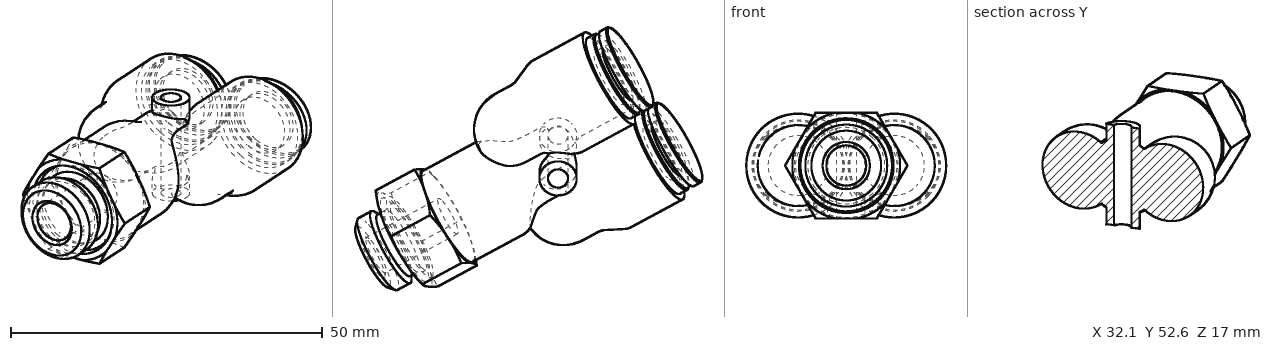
import cadquery as cq
import math


OVERALL_LENGTH = 52.6
HEX_BOTTOM = 5.9
HEX_TOP = 14.0
STEM_CONE_START = 24.0
JUNCTION = 34.5
DOME_CENTRE = 30.95
PORT_FACE = 48.6

OVERALL_WIDTH = 32.1
BODY_RADIUS = 16.7 / 2
NECK_RADIUS = 13.0 / 2
PORT_OFFSET = OVERALL_WIDTH / 2 - BODY_RADIUS
CONE_LENGTH = 4.0
BLEND_RADIUS = 2.0
NECK_END_RADIUS = 1.0
EYELET_DIAMETER = 6.0
EYELET_HOLE_DIAMETER = 3.2

HEX_ACROSS_FLATS = 17.0
HEX_FACE_RADIUS = 17.3 / 2
HEX_CHAMFER_HEIGHT = 0.4
HEX_CORNER_RADIUS = HEX_ACROSS_FLATS / 2 / math.cos(math.radians(30))
SEAL_RIM_RADIUS = 15.2 / 2
SEAL_FLOOR_RADIUS = 14.7 / 2
SEAL_DEPTH = 1.0
RELIEF_RADIUS = 11.2 / 2
RELIEF_TOP = 5.45
SHOULDER_RADIUS = 12.3 / 2
THREAD_RADIUS = 13.15 / 2
THREAD_TOP = 3.95
THREAD_TOP_CHAMFER_HEIGHT = 0.6
BORE_RADIUS = 6.4 / 2
BORE_CHAMFER = 0.6

COLLAR_RADIUS = 14.7 / 2
COLLAR_HEIGHT = 1.6
BUTTON_STEM_RADIUS = 9.6 / 2
BUTTON_HEAD_WIDTH = 14.85
BUTTON_HEAD_HEIGHT = 13.15
BUTTON_HEAD_THICKNESS = 1.5
EDGE_CHAMFER = 0.2


def revolve_about_y(profile):
    """Turn a closed (radius, y) profile about the Y axis."""
    return cq.Workplane("XY").polyline(profile).close().revolve(360, (0, 0, 0), (0, 1, 0))


def cylinder_y(radius, start, end):
    """Cylinder on the Y axis between two stations."""
    return cq.Workplane("XZ", origin=(0, start, 0)).circle(radius).extrude(start - end)


def circle_edge_at(solid, y):
    """Select the round edge of a turned solid that lies at station y."""
    reach = OVERALL_WIDTH
    slack = 0.005
    box = cq.selectors.BoxSelector((-reach, y - slack, -reach), (reach, y + slack, reach), boundingbox=True)
    return solid.edges("%CIRCLE").edges(box)


def necked_barrel(body_end, cone_start, cone_end, neck_end):
    """Barrel that tapers to the neck radius, with both ends of the cone blended."""
    barrel = revolve_about_y([
        (0, body_end),
        (BODY_RADIUS, body_end),
        (BODY_RADIUS, cone_start),
        (NECK_RADIUS, cone_end),
        (NECK_RADIUS, neck_end),
        (0, neck_end),
    ])
    for corner in (cone_start, cone_end):
        barrel = circle_edge_at(barrel, corner).fillet(BLEND_RADIUS)
    return barrel


def make_port():
    """One tube port, closed by a hemispherical dome."""
    barrel = necked_barrel(PORT_FACE, JUNCTION + CONE_LENGTH, JUNCTION, DOME_CENTRE)
    dome = cq.Workplane("XY").sphere(NECK_RADIUS).translate((0, DOME_CENTRE, 0))
    return barrel.union(dome)


def make_housing():
    stem = necked_barrel(HEX_TOP, STEM_CONE_START, STEM_CONE_START + CONE_LENGTH, JUNCTION)
    stem = circle_edge_at(stem, JUNCTION).fillet(NECK_END_RADIUS)

    port = make_port()
    body = stem
    for side in (-1, 1):
        body = body.union(port.translate((side * PORT_OFFSET, 0, 0)))

    eyelet_plane = cq.Workplane("XY", origin=(0, JUNCTION, -HEX_ACROSS_FLATS / 2))
    eyelet = eyelet_plane.circle(EYELET_DIAMETER / 2).extrude(HEX_ACROSS_FLATS)
    hole = eyelet_plane.circle(EYELET_HOLE_DIAMETER / 2).extrude(HEX_ACROSS_FLATS)
    return body.union(eyelet).cut(hole)


def make_hexagon():
    """Hexagon with flats facing +Z and -Z and conical chamfers at both ends."""
    prism = (
        cq.Workplane("XZ", origin=(0, HEX_BOTTOM, 0))
        .polygon(6, 2 * HEX_CORNER_RADIUS)
        .extrude(HEX_BOTTOM - HEX_TOP)
    )
    chamfer_envelope = revolve_about_y([
        (0, HEX_BOTTOM),
        (HEX_FACE_RADIUS, HEX_BOTTOM),
        (HEX_CORNER_RADIUS, HEX_BOTTOM + HEX_CHAMFER_HEIGHT),
        (HEX_CORNER_RADIUS, HEX_TOP - HEX_CHAMFER_HEIGHT),
        (HEX_FACE_RADIUS, HEX_TOP),
        (0, HEX_TOP),
    ])
    return prism.intersect(chamfer_envelope)


def make_stud():
    seal_floor = HEX_BOTTOM + SEAL_DEPTH
    seal_recess = revolve_about_y([
        (0, HEX_BOTTOM),
        (SEAL_RIM_RADIUS, HEX_BOTTOM),
        (SEAL_FLOOR_RADIUS, seal_floor),
        (0, seal_floor),
    ])
    thread_end_chamfer = THREAD_RADIUS - RELIEF_RADIUS
    threaded_end = revolve_about_y([
        (0, 0),
        (RELIEF_RADIUS, 0),
        (THREAD_RADIUS, thread_end_chamfer),
        (THREAD_RADIUS, THREAD_TOP - THREAD_TOP_CHAMFER_HEIGHT),
        (RELIEF_RADIUS, THREAD_TOP),
        (RELIEF_RADIUS, RELIEF_TOP),
        (SHOULDER_RADIUS, seal_floor),
        (0, seal_floor),
    ])
    bore = revolve_about_y([
        (0, 0),
        (BORE_RADIUS + BORE_CHAMFER, 0),
        (BORE_RADIUS, BORE_CHAMFER),
        (BORE_RADIUS, HEX_TOP),
        (0, HEX_TOP),
    ])
    return make_hexagon().cut(seal_recess).union(threaded_end).cut(bore)


def make_collar(x):
    """Ring seated on a port face around the button stem."""
    collar = cylinder_y(COLLAR_RADIUS, PORT_FACE, PORT_FACE + COLLAR_HEIGHT)
    collar = collar.faces(">Y").edges().chamfer(EDGE_CHAMFER)
    passage = cylinder_y(BUTTON_STEM_RADIUS, PORT_FACE, PORT_FACE + COLLAR_HEIGHT)
    return collar.cut(passage).translate((x, 0, 0))


def make_button(x):
    """Release button: round stem through the collar and an oval head."""
    head_bottom = OVERALL_LENGTH - BUTTON_HEAD_THICKNESS
    head = (
        cq.Workplane("XZ", origin=(0, head_bottom, 0))
        .ellipse(BUTTON_HEAD_WIDTH / 2, BUTTON_HEAD_HEIGHT / 2)
        .extrude(-BUTTON_HEAD_THICKNESS)
        .faces(">Y").edges().chamfer(EDGE_CHAMFER)
    )
    stem = cylinder_y(BUTTON_STEM_RADIUS, PORT_FACE, head_bottom)
    return head.union(stem).translate((x, 0, 0))


housing = make_housing()
stud = make_stud()
port_centres = (-PORT_OFFSET, PORT_OFFSET)
collars = [make_collar(x).val() for x in port_centres]
buttons = [make_button(x).val() for x in port_centres]

result = cq.Compound.makeCompound([housing.val(), stud.val(), *collars, *buttons])